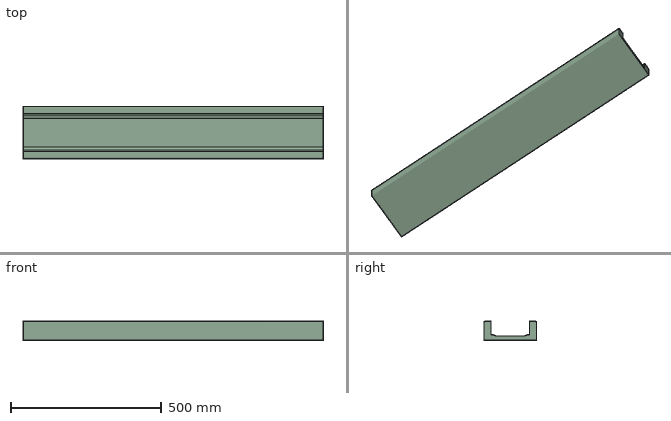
import cadquery as cq

length = 1000.0
width = 175.0
height = 64.0
wall_thickness = 24.0
floor_thickness = 15.0

ledge_height = 4.0
ledge_width = 5.0
ramp_width = 11.0

top_edge_radius = 5.0
bottom_edge_radius = 0.5

half_width = width / 2
wall_inner_y = half_width - wall_thickness
ramp_top_y = wall_inner_y - ledge_width
ramp_bottom_y = ramp_top_y - ramp_width
ledge_z = floor_thickness + ledge_height

half_profile = [
    (half_width, 0),
    (half_width, height),
    (wall_inner_y, height),
    (wall_inner_y, ledge_z),
    (ramp_top_y, ledge_z),
    (ramp_bottom_y, floor_thickness),
]
mirrored_profile = [(-y, z) for y, z in reversed(half_profile)]
channel = (
    cq.Workplane("YZ")
    .polyline(half_profile + mirrored_profile)
    .close()
    .extrude(length / 2, both=True)
)

result = channel
for outer_side in ("<Y", ">Y"):
    result = result.faces(outer_side).edges(">Z").fillet(top_edge_radius)
    result = result.faces(outer_side).edges("<Z").fillet(bottom_edge_radius)